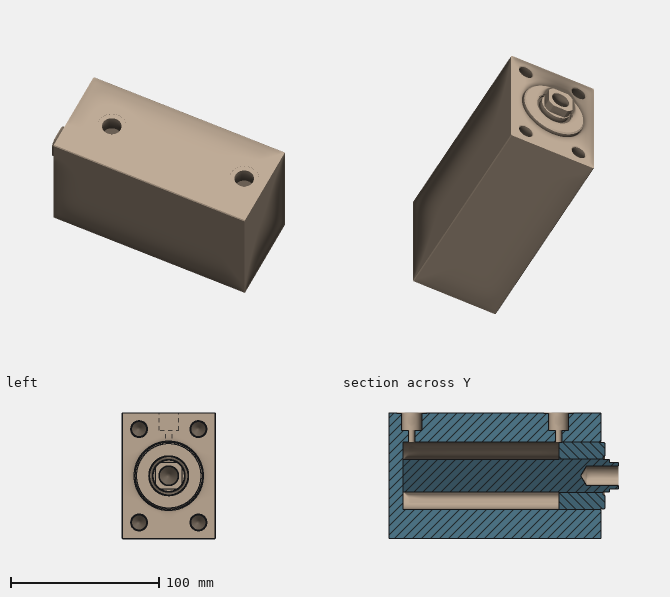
import cadquery as cq
import math

overall_length = 155.0
block_width = 63.0
block_height = 85.0
rod_protrusion = 12.0
block_length = overall_length - rod_protrusion
block_edge_chamfer = 0.6

mount_spacing_y = 40.0
mount_spacing_z = 63.0
mount_dia = 10.2
mount_mouth_dia = 11.3
mount_depth = 21.7
drill_tip_angle = 118.0

port_positions = (28.5, 127.5)
port_spot_dia = 20.0
port_spot_depth = 0.2
port_dia = 13.2
port_depth = 12.0
port_channel_dia = 4.2

gland_dia = 45.3
gland_protrusion = 3.0
gland_chamfer = 1.0
gland_depth = port_positions[0]
gland_recess_dia = 27.0
gland_recess_depth = 0.5
gland_step_dia = 25.9
gland_step_depth = 1.5

bore_dia = gland_dia
bore_mouth_chamfer = 0.8
bore_depth = 133.3

rod_dia = 22.0
rod_shoulder_chamfer = 0.5
neck_length = 6.0
neck_dia = rod_dia - 2 * rod_shoulder_chamfer
neck_across_flats = 18.1
rod_hole_dia = 12.7
rod_hole_mouth_dia = 13.3
rod_hole_depth = 21.7


def cylinder_x(diameter, start, end):
    """Solid cylinder on the X axis between two X positions."""
    return cq.Workplane("YZ", origin=(start, 0, 0)).circle(diameter / 2).extrude(end - start)


def drilled_hole_x(diameter, mouth_dia, start, depth):
    """Cutter for a blind hole along +X: 45 degree mouth chamfer, straight wall, conical tip."""
    radius = diameter / 2
    mouth_radius = mouth_dia / 2
    tip_length = radius / math.tan(math.radians(drill_tip_angle / 2))
    profile = (
        cq.Workplane("XY")
        .moveTo(start, 0)
        .lineTo(start, mouth_radius)
        .lineTo(start + mouth_radius - radius, radius)
        .lineTo(start + depth, radius)
        .lineTo(start + depth + tip_length, 0)
        .close()
    )
    return profile.revolve(360, (0, 0, 0), (1, 0, 0))


def port_cutter(position):
    """Cutter for one oil port: spot face, blind port and a channel into the bore."""
    top = cq.Workplane("XY", origin=(position, 0, block_height / 2))
    spot_face = top.circle(port_spot_dia / 2).extrude(-port_spot_depth)
    port = top.circle(port_dia / 2).extrude(-port_depth)
    channel = top.circle(port_channel_dia / 2).extrude(-block_height / 2)
    return spot_face.union(port).union(channel)


def make_block():
    block = cq.Workplane("XY").box(block_length, block_width, block_height, centered=(False, True, True))
    block = block.edges("|X").chamfer(block_edge_chamfer)

    block = block.cut(cylinder_x(bore_dia, 0, bore_depth))
    block = block.faces("<X").edges("%CIRCLE").chamfer(bore_mouth_chamfer)

    mount_hole = drilled_hole_x(mount_dia, mount_mouth_dia, 0, mount_depth)
    for side_y in (-1, 1):
        for side_z in (-1, 1):
            offset = (0, side_y * mount_spacing_y / 2, side_z * mount_spacing_z / 2)
            block = block.cut(mount_hole.translate(offset))

    for position in port_positions:
        block = block.cut(port_cutter(position))
    return block


def make_gland():
    gland = cylinder_x(gland_dia, -gland_protrusion, gland_depth)
    gland = gland.faces("<X").edges().chamfer(gland_chamfer)

    gland = gland.cut(cylinder_x(gland_recess_dia, -gland_protrusion, gland_recess_depth - gland_protrusion))
    gland = gland.cut(cylinder_x(gland_step_dia, -gland_protrusion, gland_step_depth - gland_protrusion))
    return gland.cut(cylinder_x(rod_dia, -gland_protrusion, gland_depth))


def make_rod():
    shoulder = neck_length - rod_protrusion
    rod = cylinder_x(rod_dia, shoulder, bore_depth)
    rod = rod.faces("<X").edges().chamfer(rod_shoulder_chamfer)

    neck = cylinder_x(neck_dia, -rod_protrusion, shoulder)
    flats = cq.Workplane("XY").box(2 * neck_length, neck_across_flats, neck_across_flats)
    neck = neck.intersect(flats.translate((-rod_protrusion, 0, 0)))
    rod = rod.union(neck)
    return rod.cut(drilled_hole_x(rod_hole_dia, rod_hole_mouth_dia, -rod_protrusion, rod_hole_depth))


block = make_block()
gland = make_gland()
rod = make_rod()

result = cq.Compound.makeCompound([block.val(), gland.val(), rod.val()])